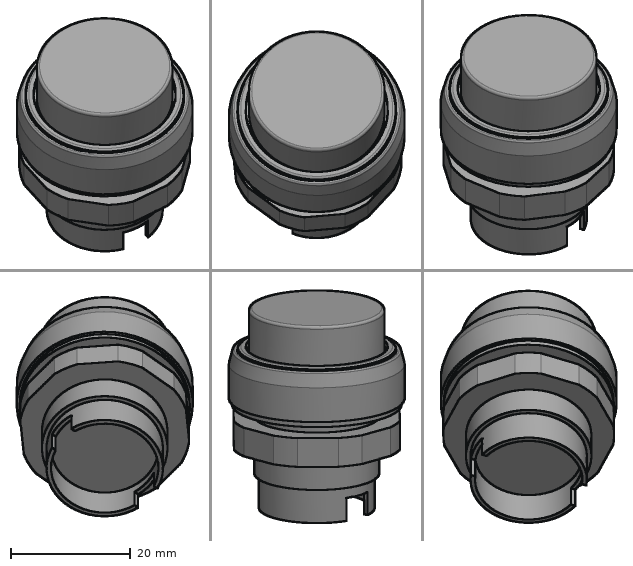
import cadquery as cq
import math

TOTAL_HEIGHT = 34.7
SLOT_TOP_Z = 4.0
SHOULDER_Z = 6.0
NUT_BOTTOM_Z = 11.0
NUT_HEIGHT = 5.0
GASKET_BOTTOM_Z = 18.0
BEZEL_BOTTOM_Z = 19.0
BEZEL_TAPER_Z = 25.0
BEZEL_TOP_Z = 27.5
RING_TOP_Z = 28.0
RING_EDGE_Z = 27.75

SKIRT_RADIUS = 9.75
SKIRT_BORE_RADIUS = 9.0
NECK_RADIUS = 10.5
GASKET_RADIUS = 14.25
BEZEL_RADIUS = 14.75
BEZEL_TOP_RADIUS = 14.1
BEZEL_INNER_RADIUS = 13.32
RING_RADIUS = 13.22
RING_FLAT_RADIUS = 12.75
RING_INNER_RADIUS = 11.9
BUTTON_RADIUS = 11.38

BEZEL_FILLET = 0.3
BUTTON_FILLET = 0.5
BUTTON_GAP_DEPTH = 1.0
BEZEL_GROOVE_DEPTH = 0.3
SLOT_WIDTH = 5.0

NUT_ACROSS_FLATS = 27.83
NUT_CORNER_RADIUS = 14.33
NUT_SIDES = 8


def make_housing_blank():
    """Turn the skirt, neck, gasket, bezel, inner ring and button about Z."""
    edge_width = RING_RADIUS - RING_FLAT_RADIUS
    edge_drop = RING_TOP_Z - RING_EDGE_Z
    edge_arc_radius = (edge_width**2 + edge_drop**2) / (2 * edge_drop)
    half_arc_angle = math.asin(edge_width / edge_arc_radius) / 2
    ring_mid = (
        RING_FLAT_RADIUS + edge_arc_radius * math.sin(half_arc_angle),
        RING_TOP_Z - edge_arc_radius * (1 - math.cos(half_arc_angle)),
    )
    groove_floor_z = BEZEL_TOP_Z - BEZEL_GROOVE_DEPTH
    gap_floor_z = RING_TOP_Z - BUTTON_GAP_DEPTH
    profile = (
        cq.Workplane("XZ")
        .lineTo(SKIRT_RADIUS, 0)
        .lineTo(SKIRT_RADIUS, SHOULDER_Z)
        .lineTo(NECK_RADIUS, SHOULDER_Z)
        .lineTo(NECK_RADIUS, GASKET_BOTTOM_Z)
        .lineTo(GASKET_RADIUS, GASKET_BOTTOM_Z)
        .lineTo(GASKET_RADIUS, BEZEL_BOTTOM_Z)
        .lineTo(BEZEL_RADIUS, BEZEL_BOTTOM_Z)
        .lineTo(BEZEL_RADIUS, BEZEL_TAPER_Z)
        .lineTo(BEZEL_TOP_RADIUS, BEZEL_TOP_Z)
        .lineTo(BEZEL_INNER_RADIUS, BEZEL_TOP_Z)
        .lineTo(BEZEL_INNER_RADIUS, groove_floor_z)
        .lineTo(RING_RADIUS, groove_floor_z)
        .lineTo(RING_RADIUS, RING_EDGE_Z)
        .threePointArc(ring_mid, (RING_FLAT_RADIUS, RING_TOP_Z))
        .lineTo(RING_INNER_RADIUS, RING_TOP_Z)
        .lineTo(RING_INNER_RADIUS, gap_floor_z)
        .lineTo(BUTTON_RADIUS, gap_floor_z)
        .lineTo(BUTTON_RADIUS, TOTAL_HEIGHT)
        .lineTo(0, TOTAL_HEIGHT)
        .close()
    )
    return profile.revolve(360, (0, 0, 0), (0, 1, 0))


def round_upper_rims(housing):
    """Round the rim of the button and the outer top rim of the bezel."""
    bezel_rim = cq.selectors.BoxSelector(
        (-BEZEL_RADIUS, -BEZEL_RADIUS, BEZEL_TOP_Z - BEZEL_FILLET),
        (BEZEL_RADIUS, BEZEL_RADIUS, BEZEL_TOP_Z + BEZEL_FILLET),
    )
    bezel_edges = [
        edge
        for edge in housing.edges(bezel_rim).edges("%CIRCLE").vals()
        if abs(edge.radius() - BEZEL_TOP_RADIUS) < BEZEL_FILLET
    ]
    housing = housing.newObject(bezel_edges).fillet(BEZEL_FILLET)
    return housing.faces(">Z").edges().fillet(BUTTON_FILLET)


def make_skirt_bore():
    """Blind bore from the lower end up to the neck shoulder."""
    return cq.Workplane("XY").circle(SKIRT_BORE_RADIUS).extrude(SHOULDER_Z)


def make_skirt_slot():
    """Slot along X that notches both sides of the skirt."""
    return cq.Workplane("XY").rect(2 * NECK_RADIUS, SLOT_WIDTH).extrude(SLOT_TOP_Z)


def make_housing():
    housing = round_upper_rims(make_housing_blank())
    return housing.cut(make_skirt_bore()).cut(make_skirt_slot())


def make_nut():
    """Octagonal nut with turned corners, fitted around the neck."""
    base = cq.Workplane("XY").workplane(offset=NUT_BOTTOM_Z)
    half_side_angle = 180 / NUT_SIDES
    across_corners = NUT_ACROSS_FLATS / math.cos(math.radians(half_side_angle))
    octagon = (
        base.transformed(rotate=(0, 0, half_side_angle))
        .polygon(NUT_SIDES, across_corners)
        .extrude(NUT_HEIGHT)
    )
    turned_ring = base.circle(NUT_CORNER_RADIUS).circle(NECK_RADIUS).extrude(NUT_HEIGHT)
    return octagon.intersect(turned_ring)


housing = make_housing()
nut = make_nut()

result = cq.Compound.makeCompound([housing.val(), nut.val()])